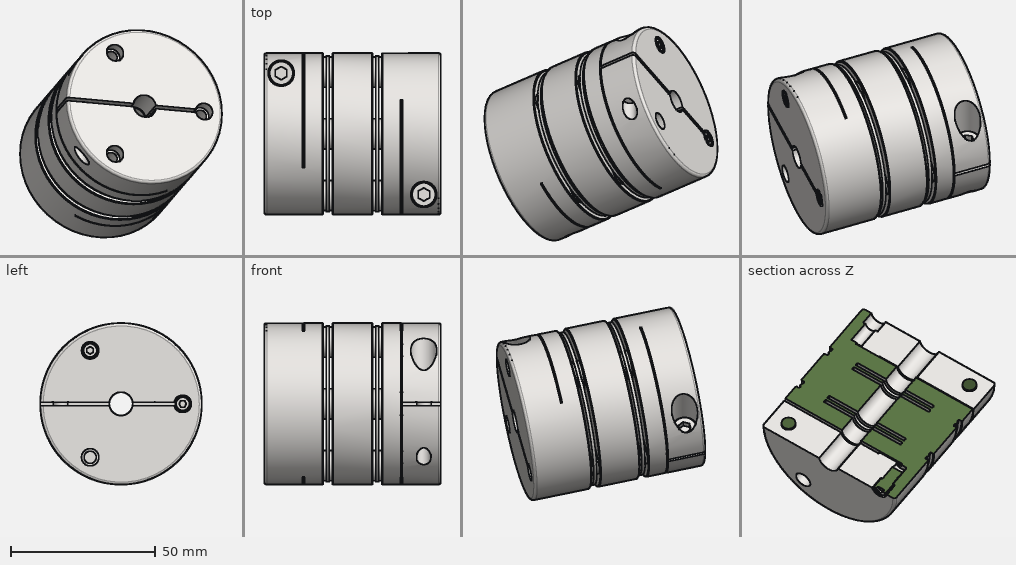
import cadquery as cq
import math

LENGTH = 61.2
OUTER_DIAMETER = 56.0
BORE_DIAMETER = 8.0
OUTER_RADIUS = OUTER_DIAMETER / 2
MIDDLE_X = LENGTH / 2

HUB_LENGTH = 20.5
SPACER_LENGTH = 14.1
END_FILLET = 1.0
EDGE_CHAMFER = 0.3

DISC_DIAMETER = 54.0
DISC_THICKNESS = 1.15
WASHER_DIAMETER = 10.5
WASHER_COUNT = 4
BOLT_CIRCLE_RADIUS = 21.35
PACK_LENGTH = (LENGTH - SPACER_LENGTH) / 2 - HUB_LENGTH
WASHER_THICKNESS = (PACK_LENGTH - DISC_THICKNESS) / 2

CROSS_SLIT_X = 13.65
CROSS_SLIT_WIDTH = 0.55
CROSS_SLIT_END_Y = -11.7
JAW_SLIT_HEIGHT = 1.2

CLAMP_X = 5.95
CLAMP_Y = 21.0
CLAMP_HEAD_DIAMETER = 8.5
CLAMP_SHANK_DIAMETER = 5.0
CLAMP_HEAD_HEIGHT = 5.0
CLAMP_SHANK_LENGTH = 15.9
CLAMP_SEAT_Z = 2.9
CLAMP_RECESS_DIAMETER = 9.0
CLAMP_CLEARANCE_DIAMETER = 5.5
CLAMP_SOCKET_WIDTH = 4.0
CLAMP_SOCKET_DEPTH = 2.45

AXIAL_HOLE_ANGLES = (60, 180, 300)
AXIAL_RECESS_DIAMETER = 6.0
AXIAL_RECESS_DEPTH = 4.9
AXIAL_PILOT_DIAMETER = 4.2
AXIAL_PILOT_END_X = CROSS_SLIT_X - CROSS_SLIT_WIDTH / 2
AXIAL_HEAD_DIAMETER = 5.1
AXIAL_HEAD_HEIGHT = 4.7
AXIAL_SHANK_LENGTH = 6.1
AXIAL_SOCKET_WIDTH = 2.2
AXIAL_SOCKET_DEPTH = 1.0
SOCKET_TURN = 30
AXIAL_SCREW_PLACES = ((180, SOCKET_TURN), (60, 0))

HEAD_CHAMFER = 0.25


def x_cylinder(start_x, length, diameter, y=0.0, z=0.0):
    """Cylinder parallel to X that starts at start_x."""
    plane = cq.Plane(origin=(start_x, y, z), xDir=(0, 1, 0), normal=(1, 0, 0))
    return cq.Workplane(plane).circle(diameter / 2).extrude(length)


def z_cylinder(bottom_z, top_z, diameter):
    """Cylinder on the clamp screw axis between two heights."""
    base = cq.Workplane(origin=(CLAMP_X, CLAMP_Y, bottom_z))
    return base.circle(diameter / 2).extrude(top_z - bottom_z)


def on_bolt_circle(angle):
    """Y and Z of a point on the bolt circle, with the angle measured from +Y towards +Z."""
    turn = math.radians(angle)
    return BOLT_CIRCLE_RADIUS * math.cos(turn), BOLT_CIRCLE_RADIUS * math.sin(turn)


def turned_end_for_end(body):
    """Copy of a left-hand body, turned half a turn about the vertical line through the middle."""
    return body.rotate((MIDDLE_X, 0, 0), (MIDDLE_X, 0, 1), 180)


def cut_slits(hub):
    """Cross slit behind the jaws, and the slit between the jaws from +Y to the screw hole at -Y."""
    cross_slit = cq.Workplane().box(
        CROSS_SLIT_WIDTH,
        OUTER_RADIUS - CROSS_SLIT_END_Y,
        OUTER_DIAMETER,
        centered=(True, False, True),
    )
    cross_slit = cross_slit.translate((CROSS_SLIT_X, CROSS_SLIT_END_Y, 0))
    jaw_slit = cq.Workplane().box(
        CROSS_SLIT_X + CROSS_SLIT_WIDTH / 2,
        OUTER_RADIUS + BOLT_CIRCLE_RADIUS,
        JAW_SLIT_HEIGHT,
        centered=(False, False, True),
    )
    jaw_slit = jaw_slit.translate((0, -BOLT_CIRCLE_RADIUS, 0))
    return hub.cut(cross_slit).cut(jaw_slit)


def cut_clamp_hole(hub):
    """Head recess and clearance hole in the upper jaw, shank-sized hole through the lower jaw."""
    hub = hub.cut(z_cylinder(CLAMP_SEAT_Z, OUTER_RADIUS, CLAMP_RECESS_DIAMETER))
    hub = hub.cut(z_cylinder(0, CLAMP_SEAT_Z, CLAMP_CLEARANCE_DIAMETER))
    return hub.cut(z_cylinder(-OUTER_RADIUS, 0, CLAMP_SHANK_DIAMETER))


def cut_axial_holes(hub):
    for angle in AXIAL_HOLE_ANGLES:
        y, z = on_bolt_circle(angle)
        hub = hub.cut(x_cylinder(0, AXIAL_RECESS_DEPTH, AXIAL_RECESS_DIAMETER, y, z))
        hub = hub.cut(x_cylinder(0, AXIAL_PILOT_END_X, AXIAL_PILOT_DIAMETER, y, z))
    return hub


def make_hub():
    hub = x_cylinder(0, HUB_LENGTH, OUTER_DIAMETER)
    hub = hub.faces("<X").edges().fillet(END_FILLET)
    hub = hub.faces(">X").edges().chamfer(EDGE_CHAMFER)
    return cut_axial_holes(cut_clamp_hole(cut_slits(hub)))


def make_disc_pack():
    """Flexible disc with a ring of washers on each face, next to the left hub."""
    disc_x = HUB_LENGTH + WASHER_THICKNESS
    pack = x_cylinder(disc_x, DISC_THICKNESS, DISC_DIAMETER)
    for index in range(WASHER_COUNT):
        y, z = on_bolt_circle(index * 360 / WASHER_COUNT)
        for washer_x in (HUB_LENGTH, disc_x + DISC_THICKNESS):
            pack = pack.union(x_cylinder(washer_x, WASHER_THICKNESS, WASHER_DIAMETER, y, z))
    return pack


def make_coupling():
    """Hubs, disc packs and spacer as one solid with a common bore."""
    spacer = x_cylinder(MIDDLE_X - SPACER_LENGTH / 2, SPACER_LENGTH, OUTER_DIAMETER)
    coupling = spacer.faces("<X or >X").edges().chamfer(EDGE_CHAMFER)
    for part in (make_disc_pack(), make_hub()):
        coupling = coupling.union(part).union(turned_end_for_end(part))
    return coupling.cut(x_cylinder(0, LENGTH, BORE_DIAMETER))


def make_socket_screw(head_diameter, head_height, shank_diameter, shank_length, socket_width, socket_depth):
    """Socket head screw along Z with its head seat at the origin and its shank pointing down."""
    head = cq.Workplane().circle(head_diameter / 2).extrude(head_height)
    head = head.faces(">Z").edges().chamfer(HEAD_CHAMFER)
    hexagon_diameter = socket_width / math.cos(math.pi / 6)
    socket = cq.Workplane(origin=(0, 0, head_height)).polygon(6, hexagon_diameter).extrude(-socket_depth)
    shank = cq.Workplane().circle(shank_diameter / 2).extrude(-shank_length)
    return head.cut(socket).union(shank)


def make_clamp_screw():
    screw = make_socket_screw(
        CLAMP_HEAD_DIAMETER,
        CLAMP_HEAD_HEIGHT,
        CLAMP_SHANK_DIAMETER,
        CLAMP_SHANK_LENGTH,
        CLAMP_SOCKET_WIDTH,
        CLAMP_SOCKET_DEPTH,
    )
    screw = screw.rotate((0, 0, 0), (0, 0, 1), SOCKET_TURN)
    return screw.translate((CLAMP_X, CLAMP_Y, CLAMP_SEAT_Z))


def make_axial_screw(angle, socket_turn):
    screw = make_socket_screw(
        AXIAL_HEAD_DIAMETER,
        AXIAL_HEAD_HEIGHT,
        AXIAL_PILOT_DIAMETER,
        AXIAL_SHANK_LENGTH,
        AXIAL_SOCKET_WIDTH,
        AXIAL_SOCKET_DEPTH,
    )
    screw = screw.rotate((0, 0, 0), (0, 1, 0), -90)
    screw = screw.rotate((0, 0, 0), (1, 0, 0), socket_turn)
    y, z = on_bolt_circle(angle)
    return screw.translate((AXIAL_RECESS_DEPTH, y, z))


coupling = make_coupling()
clamp_screw = make_clamp_screw()
clamp_screws = [clamp_screw, turned_end_for_end(clamp_screw)]
axial_screws = [make_axial_screw(angle, turn) for angle, turn in AXIAL_SCREW_PLACES]

screw_solids = [screw.val() for screw in clamp_screws + axial_screws]
result = cq.Compound.makeCompound([coupling.val(), *screw_solids])